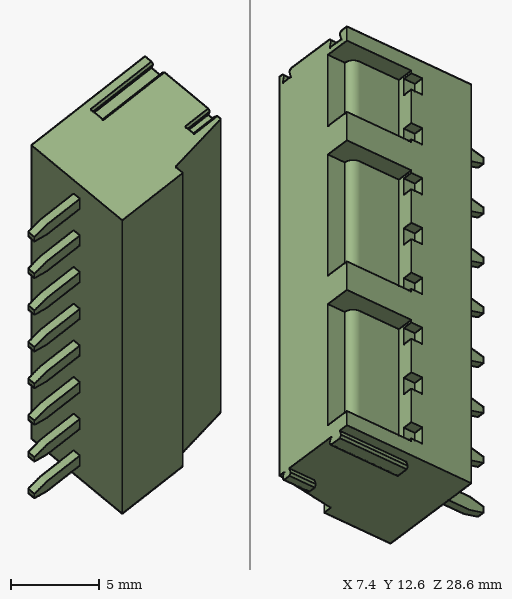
import cadquery as cq

WIDTH = 7.4
DEPTH = 9.0
HEIGHT = 28.0
TOTAL_HEIGHT = 28.55
POLES = 8
PITCH = HEIGHT / POLES

SHELF_DEPTH = 4.2
SHELF_INNER_X = 6.8
REAR_X = 6.17

WINDOW_POLES = (3, 3, 2)
WINDOW_INSET = 1.0
WINDOW_LENGTH = 4.65
FLOOR_DEPTH = 1.15
REAR_FLOOR_DEPTH = 1.75
REAR_FLOOR_LENGTH = 1.23
STEP_RADIUS = REAR_FLOOR_DEPTH - FLOOR_DEPTH

NOTCH_LENGTH = 0.8
NOTCH_HEIGHT = 1.15
NOTCH_DEPTH = 0.69

PIN_THICKNESS = 0.5
PIN_WIDTH = 0.95
PIN_TIP_WIDTH = 0.43
PIN_STRAIGHT = 2.6
PIN_LENGTH = 3.6

DOVETAILS = ((1.05, 1.05, 4.82), (5.5, 0.75, 1.83))
RAIL_HEIGHT = TOTAL_HEIGHT - HEIGHT
RAIL_NECK_INSET = 0.15
RAIL_BEVEL_INSET = 0.1
RAIL_BEVEL_HEIGHT = 0.17
GROOVE_DEPTH = 0.6
GROOVE_NECK_INSET = 0.15
GROOVE_NECK_DEPTH = 0.15


def pole_z(index):
    return (index + 0.5) * PITCH


def make_housing():
    outline = [
        (0, 0),
        (WIDTH, 0),
        (WIDTH, DEPTH - SHELF_DEPTH),
        (SHELF_INNER_X, DEPTH - SHELF_DEPTH),
        (REAR_X, DEPTH),
        (0, DEPTH),
    ]
    return cq.Workplane("XY").polyline(outline).close().extrude(HEIGHT)


def make_window(first_pole, pole_count):
    """Stepped pocket whose shallow floor rounds off into the deeper rear floor."""
    step_y = DEPTH - REAR_FLOOR_LENGTH
    bottom = first_pole * PITCH + WINDOW_INSET
    height = pole_count * PITCH - 2 * WINDOW_INSET
    return (
        cq.Workplane("XY", origin=(0, 0, bottom))
        .moveTo(0, DEPTH - WINDOW_LENGTH)
        .lineTo(FLOOR_DEPTH, DEPTH - WINDOW_LENGTH)
        .lineTo(FLOOR_DEPTH, step_y - STEP_RADIUS)
        .radiusArc((REAR_FLOOR_DEPTH, step_y), STEP_RADIUS)
        .lineTo(REAR_FLOOR_DEPTH, DEPTH)
        .lineTo(0, DEPTH)
        .close()
        .extrude(height)
    )


def make_notch(z):
    front_y = DEPTH - WINDOW_LENGTH - NOTCH_LENGTH
    return cq.Workplane("XY").box(
        NOTCH_DEPTH, NOTCH_LENGTH, NOTCH_HEIGHT, centered=(False, False, True)
    ).translate((0, front_y, z))


def make_pin(z):
    half = PIN_WIDTH / 2
    half_tip = PIN_TIP_WIDTH / 2
    outline = [
        (0, -half),
        (-PIN_STRAIGHT, -half),
        (-PIN_LENGTH, -half_tip),
        (-PIN_LENGTH, half_tip),
        (-PIN_STRAIGHT, half),
        (0, half),
    ]
    return (
        cq.Workplane("YZ", origin=(WIDTH / 2, 0, z))
        .polyline(outline)
        .close()
        .extrude(PIN_THICKNESS / 2, both=True)
    )


def extrude_dovetail(half_profile, center_x, base_z, length):
    """Mirror (half width, height) points about center_x and run them in from the rear face."""
    other_half = [(-x, z) for x, z in reversed(half_profile)]
    return (
        cq.Workplane("XZ", origin=(center_x, DEPTH, base_z))
        .polyline(half_profile + other_half)
        .close()
        .extrude(length)
    )


def make_rail(center_x, width, length):
    half = width / 2
    profile = [
        (half - RAIL_NECK_INSET, 0),
        (half, RAIL_BEVEL_HEIGHT - RAIL_HEIGHT),
        (half - RAIL_BEVEL_INSET, -RAIL_HEIGHT),
    ]
    return extrude_dovetail(profile, center_x, 0, length)


def make_groove(center_x, width, length):
    """Bevelled mouth, narrow neck, then an undercut that widens to the floor."""
    half = width / 2
    profile = [
        (half, 0),
        (half - GROOVE_NECK_INSET, -GROOVE_NECK_DEPTH),
        (half, -GROOVE_DEPTH),
    ]
    return extrude_dovetail(profile, center_x, HEIGHT, length)


result = make_housing()

first_pole = 0
for pole_count in WINDOW_POLES:
    result = result.cut(make_window(first_pole, pole_count))
    first_pole += pole_count

for pole in range(POLES):
    result = result.cut(make_notch(pole_z(pole)))
    result = result.union(make_pin(pole_z(pole)))

for center_x, width, length in DOVETAILS:
    result = result.cut(make_groove(center_x, width, length))
    result = result.union(make_rail(center_x, width, length))